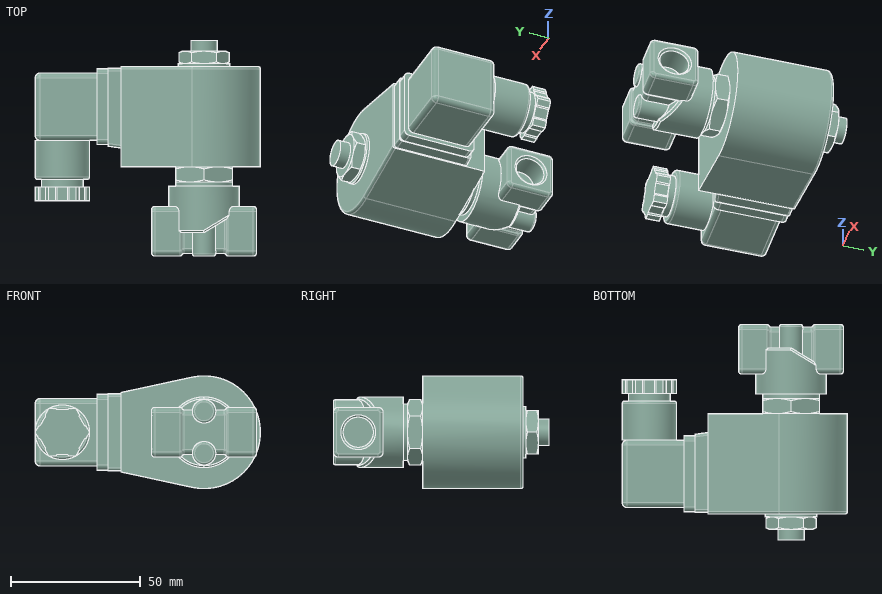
import cadquery as cq
import math


overall_length = 86.75
overall_height = 43.5

coil_radius = overall_height / 2
coil_length = 38.7
coil_flat_x = -32.0
coil_taper_angle = 12.2
coil_edge_radius = 1.0

washer_radius = 10.0
washer_thickness = 1.0
nut_corner_radius = 9.7
nut_thickness = 4.8
stud_radius = 5.1
stud_end_y = 48.7

hexagon_corner_radius = 12.7
hexagon_thickness = 5.8
neck_radius = hexagon_corner_radius * math.cos(math.radians(30))
neck_end_y = -7.5
hexagon_chamfer_angle = 25

body_radius = 13.6
body_end_y = -25.3
body_slope_angle = 31.6
body_edge_size = 0.8
block_size = 19.2
block_front_y = -34.35
block_center_y = block_front_y + block_size / 2
block_end_x = 20.2
block_inner_x = 8.5
block_long_radius = 2.0
block_end_radius = 1.3
bar_inset = 0.95
bar_blend_radius = 0.8
bar_blend_run = 0.5
pin_radius = 4.5
pin_offset_z = 8.1
pin_edge_radius = 0.9
port_radius = 5.8
port_depth = 10.4
port_chamfer = 0.9

connector_end_x = coil_radius - overall_length
connector_size = 26.0
connector_center_y = 23.2
connector_front_y = connector_center_y - connector_size / 2
connector_radius = 2.0
outer_flange_x = -41.2
outer_flange_size = 29.3
outer_flange_corner = 2.0
inner_flange_x = -36.95
inner_flange_height = 29.75
inner_flange_back_y = 38.0
inner_flange_front_y = 7.9
inner_flange_drop = 0.7
inner_flange_corner = 1.0

gland_radius = 10.5
gland_end_y = -4.9
gland_edge_radius = 0.95
gland_neck_radius = 8.1
cap_start_y = -7.7
cap_end_y = -13.1
notch_depth = 0.4
notch_floor_width = 4.1
notch_top_width = 5.2


def disc(radius, y_start, y_end, x=0, z=0):
    """Cylinder along Y."""
    return cq.Workplane("XZ", origin=(x, y_start, z)).circle(radius).extrude(y_start - y_end)


def hexagon_points(corner_radius, first_angle):
    """Corners of a regular hexagon; the first one lies at the given angle in degrees."""
    angles = [math.radians(first_angle + 60 * k) for k in range(6)]
    return [(corner_radius * math.cos(a), corner_radius * math.sin(a)) for a in angles]


def hexagon(corner_radius, y_start, y_end, first_angle):
    """Hexagonal prism along Y."""
    plane = cq.Workplane("XZ", origin=(0, y_start, 0))
    return plane.polyline(hexagon_points(corner_radius, first_angle)).close().extrude(y_start - y_end)


def chamfered_hexagon(corner_radius, y_low, y_high, first_angle):
    """Hexagonal nut with its corners turned down at both ends."""
    flat_radius = corner_radius * math.cos(math.radians(30))
    drop = (corner_radius - flat_radius) * math.tan(math.radians(hexagon_chamfer_angle))
    envelope = (
        cq.Workplane("XY")
        .moveTo(0, y_low)
        .lineTo(flat_radius, y_low)
        .lineTo(corner_radius, y_low + drop)
        .lineTo(corner_radius, y_high - drop)
        .lineTo(flat_radius, y_high)
        .lineTo(0, y_high)
        .close()
        .revolve(360, (0, 0, 0), (0, 1, 0))
    )
    return hexagon(corner_radius, y_low, y_high, first_angle).intersect(envelope)


def make_coil():
    taper = math.radians(coil_taper_angle)
    tangent_x = -coil_radius * math.sin(taper)
    tangent_z = coil_radius * math.cos(taper)
    flat_half = tangent_z - (tangent_x - coil_flat_x) * math.tan(taper)
    outline = (
        cq.Workplane("XZ")
        .moveTo(coil_flat_x, -flat_half)
        .lineTo(tangent_x, -tangent_z)
        .threePointArc((coil_radius, 0), (tangent_x, tangent_z))
        .lineTo(coil_flat_x, flat_half)
        .close()
    )
    coil = outline.extrude(-coil_length)
    return coil.faces(">Y").edges("not <X").fillet(coil_edge_radius)


def make_rear_fixing():
    washer_end_y = coil_length + washer_thickness
    nut_end_y = washer_end_y + nut_thickness
    washer = disc(washer_radius, coil_length, washer_end_y)
    nut = chamfered_hexagon(nut_corner_radius, washer_end_y, nut_end_y, 0)
    stud = disc(stud_radius, nut_end_y, stud_end_y)
    return washer.union(nut).union(stud)


def make_front_fixing():
    nut = chamfered_hexagon(hexagon_corner_radius, -hexagon_thickness, 0, 30)
    return nut.union(disc(neck_radius, -hexagon_thickness, neck_end_y))


def make_body_cylinder():
    """Cylinder whose flat end turns into a slope on the +X side; the end rim is chamfered."""
    cylinder = disc(body_radius, neck_end_y, body_end_y)
    slope_top_y = body_end_y + 2 * body_radius * math.tan(math.radians(body_slope_angle))
    wedge = (
        cq.Workplane("XY")
        .moveTo(0, body_end_y)
        .lineTo(2 * body_radius, slope_top_y)
        .lineTo(2 * body_radius, body_end_y)
        .close()
        .extrude(body_radius, both=True)
    )
    cylinder = cylinder.cut(wedge)
    end_edges = cylinder.edges(cq.selectors.BoxSelector(
        (-2 * body_radius, body_end_y - body_radius, -2 * body_radius),
        (2 * body_radius, body_end_y + body_radius, 2 * body_radius),
    )).edges("not |Z")
    return end_edges.chamfer(body_edge_size)


def make_ports():
    """Two square port blocks joined by a slightly smaller bar, with a smooth step between them."""
    bar_size = block_size - 2 * bar_inset
    step_start_x = block_inner_x - bar_blend_run / 2
    step_end_x = block_inner_x + bar_blend_run / 2
    port_plane = cq.Workplane("YZ", origin=(0, block_center_y, 0))
    bar_sketch = cq.Sketch().rect(bar_size, bar_size).vertices().fillet(block_long_radius)
    block_sketch = cq.Sketch().rect(block_size, block_size).vertices().fillet(block_long_radius)
    bar = port_plane.placeSketch(bar_sketch).extrude(step_start_x)
    step = port_plane.placeSketch(
        bar_sketch.moved(cq.Location(cq.Vector(0, 0, step_start_x))),
        block_sketch.moved(cq.Location(cq.Vector(0, 0, step_end_x))),
    ).loft()
    block = port_plane.workplane(offset=step_end_x).placeSketch(block_sketch)
    block = block.extrude(block_end_x - step_end_x)
    block = block.faces(">X").edges().fillet(block_end_radius)
    half = bar.union(step).union(block)
    margin = bar_blend_run / 10
    step_edges = half.edges(cq.selectors.BoxSelector(
        (step_start_x - margin, block_center_y - block_size, -block_size),
        (step_end_x + margin, block_center_y + block_size, block_size),
    )).edges("#X")
    half = step_edges.fillet(bar_blend_radius)
    return half.union(half.mirror("YZ"))


def make_pin(z):
    pin = disc(pin_radius, block_front_y, block_center_y + block_size / 2, 0, z)
    return pin.faces("<Y").edges().fillet(pin_edge_radius)


def make_port_hole(side):
    profile = (
        cq.Workplane("XY")
        .moveTo(side * block_end_x, block_center_y)
        .lineTo(side * block_end_x, block_center_y + port_radius + port_chamfer)
        .lineTo(side * (block_end_x - port_chamfer), block_center_y + port_radius)
        .lineTo(side * (block_end_x - port_depth), block_center_y + port_radius)
        .lineTo(side * (block_end_x - port_depth), block_center_y)
        .close()
    )
    return profile.revolve(360, (0, block_center_y, 0), (1, block_center_y, 0))


def connector_plate(x_low, x_high, size, corner):
    """Square block along X with rounded corners, centred on the connector."""
    plane = cq.Workplane("YZ", origin=(x_low, connector_center_y, 0))
    return plane.rect(size, size).extrude(x_high - x_low).edges("|X").fillet(corner)


def make_connector():
    box = connector_plate(connector_end_x, outer_flange_x, connector_size, connector_radius)
    box = box.faces("<X").edges().fillet(connector_radius)
    outer_flange = connector_plate(outer_flange_x, inner_flange_x, outer_flange_size, outer_flange_corner)
    inner_flange = (
        cq.Workplane("XY")
        .moveTo(inner_flange_x, inner_flange_front_y)
        .lineTo(coil_flat_x, inner_flange_front_y - inner_flange_drop)
        .lineTo(coil_flat_x, inner_flange_back_y)
        .lineTo(inner_flange_x, inner_flange_back_y)
        .close()
        .extrude(inner_flange_height / 2, both=True)
    )
    inner_flange = inner_flange.faces(">Z or <Z").edges("not |Y").fillet(inner_flange_corner)
    return box.union(outer_flange).union(inner_flange)


def make_gland():
    sleeve = disc(gland_radius, gland_end_y, connector_front_y)
    sleeve = sleeve.faces("<Y").edges().fillet(gland_edge_radius)
    neck = disc(gland_neck_radius, cap_start_y, gland_end_y)
    cap = hexagon(gland_radius, cap_start_y, cap_end_y, 0)
    flat_z = gland_radius * math.cos(math.radians(30))
    notch = (
        cq.Workplane("XZ", origin=(0, cap_end_y, 0))
        .moveTo(-notch_top_width / 2, flat_z)
        .lineTo(-notch_floor_width / 2, flat_z - notch_depth)
        .lineTo(notch_floor_width / 2, flat_z - notch_depth)
        .lineTo(notch_top_width / 2, flat_z)
        .close()
        .extrude(cap_end_y - cap_start_y)
    )
    for k in range(6):
        cap = cap.cut(notch.rotate((0, 0, 0), (0, 1, 0), 60 * k))
    gland_x = connector_end_x + gland_radius
    return sleeve.union(neck).union(cap).translate((gland_x, 0, 0))


result = make_coil()
result = result.union(make_rear_fixing())
result = result.union(make_front_fixing())
result = result.union(make_body_cylinder())
result = result.union(make_ports())
for z in (-pin_offset_z, pin_offset_z):
    result = result.union(make_pin(z))
for side in (-1, 1):
    result = result.cut(make_port_hole(side))
result = result.union(make_connector())
result = result.union(make_gland())